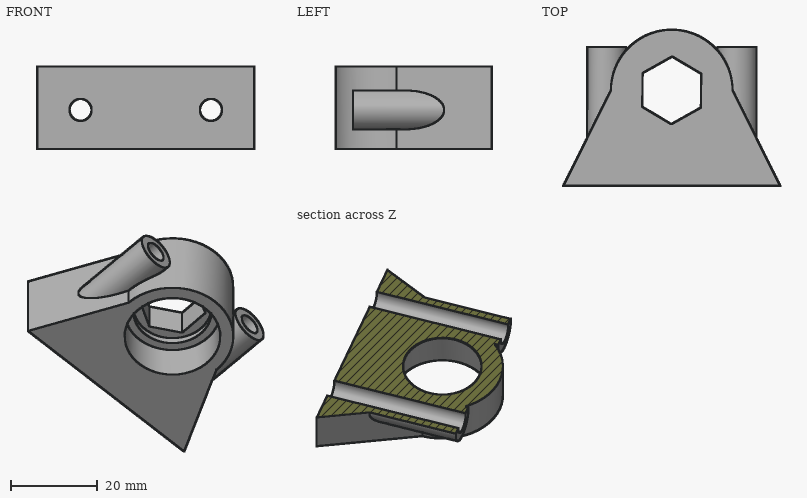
import cadquery as cq

foot_width = 50
body_height = 19
head_radius = 14
head_center_y = 22

barrel_diameter = 9
hole_diameter = 5
barrel_spacing = 30
barrel_end_y = 32
barrel_axis_z = 9

hex_across_corners = 15.5
hex_depth = 7.7
hex_turn = 0.7
middle_bore_diameter = 18
lower_bore_diameter = 22
lower_bore_depth = 9.6


def make_body():
    """Flared foot running into a semicircular head."""
    return (
        cq.Workplane("XY")
        .moveTo(-foot_width / 2, 0)
        .lineTo(foot_width / 2, 0)
        .lineTo(head_radius, head_center_y)
        .threePointArc((0, head_center_y + head_radius), (-head_radius, head_center_y))
        .close()
        .extrude(body_height)
    )


def rod_along_y(x, diameter):
    """Cylinder at x from the mounting face to the barrel end."""
    return (
        cq.Workplane("XZ")
        .center(x, barrel_axis_z)
        .circle(diameter / 2)
        .extrude(-barrel_end_y)
    )


def make_socket():
    """Slightly turned hexagon above two widening round bores."""
    top = cq.Workplane("XY", origin=(0, head_center_y, body_height))
    bottom = cq.Workplane("XY", origin=(0, head_center_y, 0))
    hexagon = (
        top.transformed(rotate=(0, 0, 90 - hex_turn))
        .polygon(6, hex_across_corners)
        .extrude(-hex_depth)
    )
    middle_bore = bottom.circle(middle_bore_diameter / 2).extrude(body_height - hex_depth)
    lower_bore = bottom.circle(lower_bore_diameter / 2).extrude(body_height - lower_bore_depth)
    return hexagon.union(middle_bore).union(lower_bore)


result = make_body()
barrel_positions = (-barrel_spacing / 2, barrel_spacing / 2)
for x in barrel_positions:
    result = result.union(rod_along_y(x, barrel_diameter))
for x in barrel_positions:
    result = result.cut(rod_along_y(x, hole_diameter))
result = result.cut(make_socket())